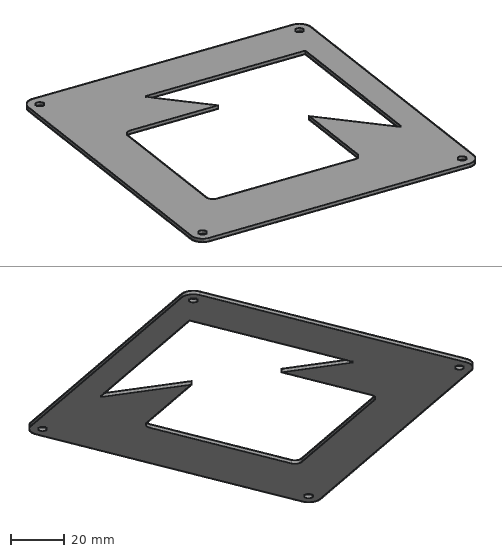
import cadquery as cq

plate_width = 128.5
plate_depth = 123.7
thickness = 1.5
corner_radius = 5.0

hole_diameter = 3.3
hole_inset = corner_radius

window_left = 40.3
window_bottom = 20.5
window_width = 63.0
window_depth = 66.2
window_radius = 3.0

arrow_left = 20.0
arrow_top = plate_depth - 11.6
arrow_leg = 70.5
arrow_tip_radius = 0.4


def make_plate():
    """Flat plate with rounded corners."""
    plate = cq.Workplane("XY").box(plate_width, plate_depth, thickness, centered=False)
    return plate.edges("|Z").fillet(corner_radius)


def make_holes():
    """Cutters for the four corner holes."""
    centers = [
        (x, y)
        for x in (hole_inset, plate_width - hole_inset)
        for y in (hole_inset, plate_depth - hole_inset)
    ]
    return cq.Workplane("XY").pushPoints(centers).circle(hole_diameter / 2).extrude(thickness)


def make_window():
    """Cutter for the rectangle, rounded except where it meets the arrowhead."""
    window = (
        cq.Workplane("XY")
        .box(window_width, window_depth, thickness, centered=False)
        .translate((window_left, window_bottom, 0))
    )
    return window.edges("|Z and (>X or <Y)").fillet(window_radius)


def make_arrowhead():
    """Cutter for the right triangle with its two sharp tips slightly rounded."""
    triangle = (
        cq.Workplane("XY")
        .moveTo(arrow_left, arrow_top)
        .lineTo(arrow_left, arrow_top - arrow_leg)
        .lineTo(arrow_left + arrow_leg, arrow_top)
        .close()
        .extrude(thickness)
    )
    return triangle.edges("|Z and (>X or <Y)").fillet(arrow_tip_radius)


opening = make_window().union(make_arrowhead())
result = make_plate().cut(make_holes()).cut(opening)